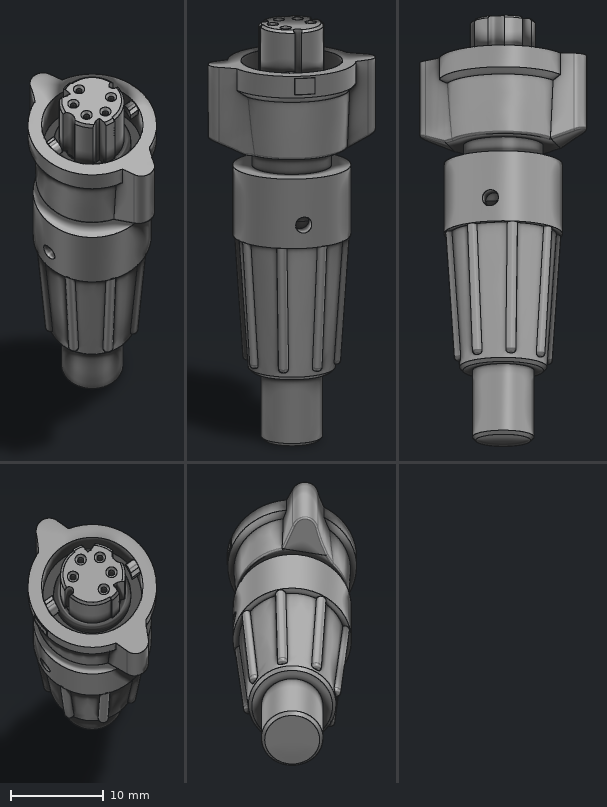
import cadquery as cq
import math

TOTAL_HEIGHT = 46.55
OVERALL_WIDTH = 18.5

TAIL_RADIUS = 3.35
TAIL_CHAMFER = 0.35
GRIP_BOTTOM_Z = 7.77
GRIP_BOTTOM_RADIUS = 4.75
GRIP_TOP_RADIUS = 5.75
GRIP_END_CHAMFER = 0.35
RIB_COUNT = 8
RIB_RADIUS = 0.55
RIB_END_ROUND = RIB_RADIUS * 0.8
RIB_END_Z = 8.65
COLLAR_BOTTOM_Z = 22.95
COLLAR_TOP_Z = 30.7
COLLAR_RADIUS = 6.42
SNAP_HOLE_Z = 25.55
SNAP_HOLE_RADIUS = 0.9

NECK_RADIUS = 4.35
NECK_BOTTOM_Z = 23.75
NECK_BORE_RADIUS = 3.15
RIM_RADIUS = 4.2
RIM_TOP_Z = 39.8
RIM_ROUND = (RIM_RADIUS - NECK_BORE_RADIUS) / 2
LATCH_HEIGHT = 0.45
LATCH_BEVEL_DROP = 1.1

INSERT_FRONT_RADIUS = 3.6
INSERT_BACK_RADIUS = 3.45
INSERT_CHAMFER = 0.3
SOCKET_CIRCLE_RADIUS = 2.1
SOCKET_ANGLES = (0, 60, 180, 240, 300)
SOCKET_RADIUS = 0.33
SOCKET_MOUTH_RADIUS = 0.6
SOCKET_DEPTH = 4.65
KEYWAY_FLOOR_Z = RIM_TOP_Z - RIM_ROUND
WIDE_KEYWAY_RADIUS = 1.05
WIDE_KEYWAY_CENTRE = 4.0
NARROW_KEYWAY_RADIUS = 0.45
NARROW_KEYWAY_CENTRE = 3.1
SIDE_KEYWAY_OUTLINE = [(-3.95, -1.1), (-2.35, -1.1), (-2.35, -1.6), (-2.65, -2.37), (-3.95, -2.37)]

COUPLING_BOTTOM_Z = 32.75
COUPLING_FLOOR_Z = 38.6
COUPLING_LIP = 0.45
COUPLING_TOP_Z = 42.35
COUPLING_BORE_RADIUS = 5.5
COUPLING_FLOOR_RADIUS = 5.35
FLANGE_RADIUS = 7.0
FLANGE_BOTTOM_Z = 39.95
BARREL_TOP_Z = 39.3
BARREL_TOP_RADIUS = 6.35
BARREL_BOTTOM_RADIUS = 6.1
BOTTOM_ROUND = 0.25
UNDERSIDE_NORMAL_Z = -0.9
WING_TIP_X = OVERALL_WIDTH / 2
WING_TIP_RADIUS = 1.45
WING_TIP_START_ANGLE = -68
WING_TIP_END_ANGLE = 75
WING_STRAIGHT_ROOT = (-5.35, 2.25)
WING_FLARED_ROOT = (-4.4, -4.1)
WING_FLARE_MIDDLE = (-6.45, -2.4)
WING_BEVEL_TIP_Z = 34.15
WING_BEVEL_ROOT_X = 5.75
KEY_INNER_RADIUS = 4.4
KEY_BOTTOM_Z = 41.35
KEY_TOP_Z = 42.25
KEY_ROUND_END = 0.9
KEY_FLAT_END = 1.3
KEY_END = 1.75
KEY_RAMP_DROP = 0.2
MARK_WIDTH = 2.25
MARK_RADIUS = 7.08
MARK_BOTTOM_Z = 40.3
MARK_TOP_Z = 42.15


def cylinder(radius, bottom, top):
    """Vertical cylinder on the connector axis."""
    return cq.Workplane("XY").workplane(offset=bottom).circle(radius).extrude(top - bottom)


def revolved(points):
    """Solid of revolution about Z from an outline of (radius, z) points."""
    return cq.Workplane("XZ").polyline(points).close().revolve(360, (0, 0, 0), (0, 1, 0))


def half_turn(shape):
    """A shape turned half a turn about the connector axis."""
    return shape.rotate((0, 0, 0), (0, 0, 1), 180)


def half_turn_pair(shape):
    """A shape together with its copy turned half a turn about the axis."""
    return shape.union(half_turn(shape))


def radial_pins(inner, outer):
    """Pair of round pins along Y, on both sides, at the height of the snap holes."""
    pin = (
        cq.Workplane("XZ", origin=(0, -inner, SNAP_HOLE_Z))
        .circle(SNAP_HOLE_RADIUS)
        .extrude(outer - inner)
    )
    return half_turn_pair(pin)


def make_grip_ribs():
    """Round ribs lying on the grip cone, each with a domed lower end."""
    slope = (GRIP_TOP_RADIUS - GRIP_BOTTOM_RADIUS) / (COLLAR_BOTTOM_Z - GRIP_BOTTOM_Z)
    start_radius = GRIP_BOTTOM_RADIUS + slope * (RIB_END_Z - GRIP_BOTTOM_Z)
    axis = cq.Vector(slope, 0, 1)
    length = COLLAR_BOTTOM_Z + RIB_RADIUS - RIB_END_Z
    bar = cq.Workplane(cq.Plane((start_radius, 0, RIB_END_Z), (0, 1, 0), axis))
    rib = bar.circle(RIB_RADIUS).extrude(length).faces("<Z").edges().fillet(RIB_END_ROUND)
    pitch = 360 / RIB_COUNT
    return [rib.rotate((0, 0, 0), (0, 0, 1), pitch * (i + 0.5)) for i in range(RIB_COUNT)]


def make_backshell():
    shell = revolved([
        (0, 0),
        (TAIL_RADIUS - TAIL_CHAMFER, 0),
        (TAIL_RADIUS, TAIL_CHAMFER),
        (TAIL_RADIUS, GRIP_BOTTOM_Z),
        (GRIP_BOTTOM_RADIUS - GRIP_END_CHAMFER, GRIP_BOTTOM_Z),
        (GRIP_BOTTOM_RADIUS, GRIP_BOTTOM_Z + GRIP_END_CHAMFER),
        (GRIP_TOP_RADIUS, COLLAR_BOTTOM_Z),
        (COLLAR_RADIUS, COLLAR_BOTTOM_Z),
        (COLLAR_RADIUS, COLLAR_TOP_Z),
        (0, COLLAR_TOP_Z),
    ])
    for rib in make_grip_ribs():
        shell = shell.union(rib)
    shell = shell.cut(cylinder(NECK_RADIUS, NECK_BOTTOM_Z, COLLAR_TOP_Z))
    return shell.cut(radial_pins(0, FLANGE_RADIUS))


def make_latches():
    """Snap latches that fill the inner end of the snap holes, bevelled on their lower half."""
    root = NECK_RADIUS - RIM_ROUND
    face = NECK_RADIUS + LATCH_HEIGHT
    top_z = SNAP_HOLE_Z + 2 * SNAP_HOLE_RADIUS
    bottom_z = SNAP_HOLE_Z - LATCH_BEVEL_DROP * (face - root) / LATCH_HEIGHT
    wedge = (
        cq.Workplane("YZ")
        .polyline([
            (-root, top_z),
            (-face, top_z),
            (-face, SNAP_HOLE_Z),
            (-root, bottom_z),
        ])
        .close()
        .extrude(2 * SNAP_HOLE_RADIUS, both=True)
    )
    return radial_pins(root, face).intersect(half_turn_pair(wedge))


def make_neck():
    rim_start_z = RIM_TOP_Z - RIM_ROUND
    sleeve = (
        cq.Workplane("XZ")
        .moveTo(NECK_BORE_RADIUS, NECK_BOTTOM_Z)
        .lineTo(NECK_RADIUS, NECK_BOTTOM_Z)
        .lineTo(NECK_RADIUS, COUPLING_FLOOR_Z - COUPLING_LIP)
        .lineTo(RIM_RADIUS, COUPLING_FLOOR_Z - COUPLING_LIP)
        .lineTo(RIM_RADIUS, rim_start_z)
        .threePointArc((RIM_RADIUS - RIM_ROUND, RIM_TOP_Z), (NECK_BORE_RADIUS, rim_start_z))
        .close()
        .revolve(360, (0, 0, 0), (0, 1, 0))
    )
    return sleeve.union(make_latches())


def make_keyways():
    """Wide and narrow round keyways on the Y axis and a cornered keyway on each side."""
    base = cq.Workplane("XY").workplane(offset=KEYWAY_FLOOR_Z)
    depth = TOTAL_HEIGHT - KEYWAY_FLOOR_Z
    wide = base.center(0, -WIDE_KEYWAY_CENTRE).circle(WIDE_KEYWAY_RADIUS).extrude(depth)
    narrow = base.center(0, NARROW_KEYWAY_CENTRE).circle(NARROW_KEYWAY_RADIUS).extrude(depth)
    side = base.polyline(SIDE_KEYWAY_OUTLINE).close().extrude(depth)
    return wide.union(narrow).union(side).union(side.mirror("YZ"))


def make_sockets():
    """Contact sockets with conical mouths."""
    mouth_z = TOTAL_HEIGHT - (SOCKET_MOUTH_RADIUS - SOCKET_RADIUS)
    bottom_z = TOTAL_HEIGHT - SOCKET_DEPTH
    socket = revolved([
        (0, bottom_z),
        (SOCKET_RADIUS, bottom_z),
        (SOCKET_RADIUS, mouth_z),
        (SOCKET_MOUTH_RADIUS, TOTAL_HEIGHT),
        (0, TOTAL_HEIGHT),
    ]).translate((SOCKET_CIRCLE_RADIUS, 0, 0))
    return [socket.rotate((0, 0, 0), (0, 0, 1), angle) for angle in SOCKET_ANGLES]


def make_half_head(radius):
    """Chamfered half cylinder of the insert head, on the -Y side."""
    return (
        cq.Workplane("XZ")
        .polyline([
            (0, RIM_TOP_Z),
            (radius, RIM_TOP_Z),
            (radius, TOTAL_HEIGHT - INSERT_CHAMFER),
            (radius - INSERT_CHAMFER, TOTAL_HEIGHT),
            (0, TOTAL_HEIGHT),
        ])
        .close()
        .revolve(180, (0, 0, 0), (0, -1, 0))
    )


def make_insert():
    stem = cylinder(NECK_BORE_RADIUS, NECK_BOTTOM_Z, RIM_TOP_Z)
    front = make_half_head(INSERT_FRONT_RADIUS)
    back = half_turn(make_half_head(INSERT_BACK_RADIUS))
    body = stem.union(front).union(back).cut(make_keyways())
    for socket in make_sockets():
        body = body.cut(socket)
    return body


def wing_tip_point(angle):
    """Point on the round tip of the -X wing, at an angle in degrees from its outermost point."""
    centre_x = WING_TIP_RADIUS - WING_TIP_X
    turn = math.radians(angle)
    return (centre_x - WING_TIP_RADIUS * math.cos(turn), WING_TIP_RADIUS * math.sin(turn))


def make_wings():
    """Finger wings with a round tip, one straight flank and one flared flank."""
    tip_start = wing_tip_point(WING_TIP_START_ANGLE)
    wing = (
        cq.Workplane("XY")
        .workplane(offset=COUPLING_BOTTOM_Z)
        .moveTo(*tip_start)
        .threePointArc(wing_tip_point(0), wing_tip_point(WING_TIP_END_ANGLE))
        .lineTo(*WING_STRAIGHT_ROOT)
        .lineTo(*WING_FLARED_ROOT)
        .threePointArc(WING_FLARE_MIDDLE, tip_start)
        .close()
        .extrude(COUPLING_TOP_Z - COUPLING_BOTTOM_Z)
    )
    return half_turn_pair(wing)


def make_wing_bevels():
    """Wedges of waste below the sloping undersides of the two wings."""
    bevel = (
        cq.Workplane("XZ")
        .polyline([
            (-WING_TIP_X, WING_BEVEL_TIP_Z),
            (-WING_BEVEL_ROOT_X, COUPLING_BOTTOM_Z),
            (-WING_TIP_X, COUPLING_BOTTOM_Z),
        ])
        .close()
        .extrude(FLANGE_RADIUS, both=True)
    )
    return half_turn_pair(bevel)


def make_bayonet_keys():
    """Keys on the cavity wall: rounded at one end, with a shallow ramp at the other."""
    height = KEY_TOP_Z - KEY_BOTTOM_Z
    diagonal = math.sqrt(0.5)
    key = (
        cq.Workplane("XZ")
        .moveTo(0, KEY_BOTTOM_Z)
        .threePointArc(
            (KEY_ROUND_END * (1 - diagonal), KEY_BOTTOM_Z + height * diagonal),
            (KEY_ROUND_END, KEY_TOP_Z),
        )
        .lineTo(KEY_FLAT_END, KEY_TOP_Z)
        .lineTo(KEY_END, KEY_TOP_Z - KEY_RAMP_DROP)
        .lineTo(KEY_END, KEY_BOTTOM_Z)
        .close()
        .extrude(-FLANGE_RADIUS)
    )
    ring = cylinder(COUPLING_BORE_RADIUS, KEY_BOTTOM_Z, KEY_TOP_Z)
    ring = ring.cut(cylinder(KEY_INNER_RADIUS, KEY_BOTTOM_Z, KEY_TOP_Z))
    return half_turn_pair(key.intersect(ring))


def make_index_mark():
    """Thin raised pad on the +Y side of the flange."""
    height = MARK_TOP_Z - MARK_BOTTOM_Z
    pad = cq.Workplane("XY").box(MARK_WIDTH, MARK_RADIUS, height, centered=(True, False, False))
    disc = cylinder(MARK_RADIUS, MARK_BOTTOM_Z, MARK_TOP_Z)
    return pad.translate((0, 0, MARK_BOTTOM_Z)).intersect(disc)


def make_coupling():
    body = revolved([
        (0, COUPLING_BOTTOM_Z),
        (BARREL_BOTTOM_RADIUS, COUPLING_BOTTOM_Z),
        (BARREL_TOP_RADIUS, BARREL_TOP_Z),
        (FLANGE_RADIUS, FLANGE_BOTTOM_Z),
        (FLANGE_RADIUS, COUPLING_TOP_Z),
        (0, COUPLING_TOP_Z),
    ])
    body = body.union(make_wings()).cut(make_wing_bevels())
    underside = body.faces().filter(lambda face: face.normalAt().z < UNDERSIDE_NORMAL_Z)
    body = underside.edges("not |Y").fillet(BOTTOM_ROUND)
    body = body.union(make_index_mark())
    cavity = revolved([
        (0, COUPLING_FLOOR_Z),
        (COUPLING_FLOOR_RADIUS, COUPLING_FLOOR_Z),
        (COUPLING_BORE_RADIUS, COUPLING_TOP_Z),
        (0, COUPLING_TOP_Z),
    ])
    body = body.cut(cavity).cut(cylinder(RIM_RADIUS, COUPLING_BOTTOM_Z, COUPLING_FLOOR_Z))
    body = body.cut(cylinder(NECK_RADIUS, COUPLING_BOTTOM_Z, COUPLING_FLOOR_Z - COUPLING_LIP))
    return body.union(make_bayonet_keys())


backshell = make_backshell()
neck = make_neck()
insert = make_insert()
coupling = make_coupling()
result = cq.Compound.makeCompound([backshell.val(), neck.val(), insert.val(), coupling.val()])